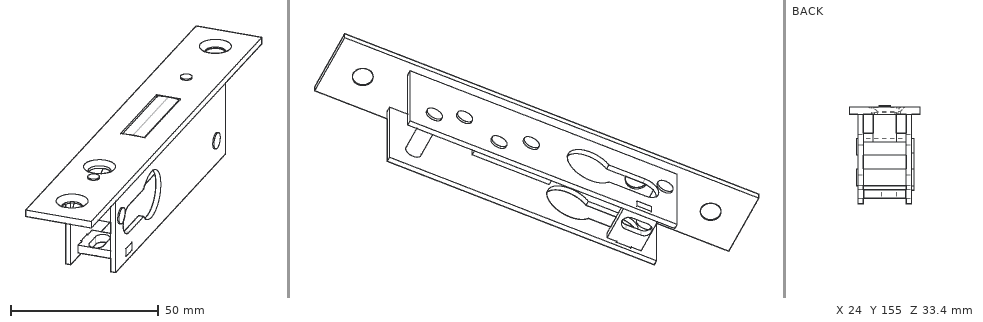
import cadquery as cq


FACE_WIDTH = 24.0
FACE_LENGTH = 155.0
FACE_THICKNESS = 2.5
FIXING_Y = 65.1
FIXING_DIAMETER = 7.0
CYLINDER_SCREW_X = -1.4
CYLINDER_SCREW_Y = -36.7
CYLINDER_SCREW_DIAMETER = 7.8
SINK_DIAMETER = 10.8
SINK_ANGLE = 90.0
RIVET_DIAMETER = 4.0
RIVET_HEIGHT = 0.5
RIVET_YS = [38.6, -45.5]

CASE_LENGTH = 100.0
CASE_Y = 1.7
CASE_BOTTOM = -32.9
CASE_WIDTH = 18.3
WALL = 1.9
HALF_WIDTH = CASE_WIDTH / 2
HALF_GAP = HALF_WIDTH - WALL

PIN_DIAMETER = 5.7
LEFT_HEAD = 0.8
RIGHT_HEAD = 0.5
LONG_PINS = [(-43.5, -13.5), (42.8, -23.9)]
SHORT_PINS = [(31.5, -18.5), (6.5, -18.5), (18.6, -25.4)]

KEY_Y = -15.8
KEY_Z = -18.0
KEY_DIAMETER = 17.2
KEY_SLOT_WIDTH = 10.2
KEY_END_Y = -41.4

BAR_Y = -36.0
BAR_TOP = -28.0
BAR_THICKNESS = 3.0
BAR_LENGTH = 12.7
BAR_CLEARANCE = 0.3
TAB_LENGTH = 5.5
BAR_SLOT_WIDTH = 5.1
BAR_SLOT_LENGTH = 10.8

BOLT_WIDTH = 7.9
BOLT_LENGTH = 32.0
BOLT_Y = 6.4
SIDE_CLEARANCE = 0.5
END_CLEARANCE = 0.3
CROWN_DROP = 0.3
FLANGE_TOP = -8.8
FLANGE_THICKNESS = 3.1
FLANGE_INSET = 1.5


def block(x_size, y_size, z_size, x, y, z_top):
    """Box centred on x and y, hanging down from z_top."""
    return cq.Workplane("XY").box(x_size, y_size, z_size).translate((x, y, z_top - z_size / 2))


def cross_cylinder(diameter, y, z, x_start, x_end):
    """Cylinder along X between two x positions."""
    return (
        cq.Workplane("YZ", origin=(x_start, 0, 0))
        .center(y, z)
        .circle(diameter / 2)
        .extrude(x_end - x_start)
    )


def make_faceplate():
    plate = block(FACE_WIDTH, FACE_LENGTH, FACE_THICKNESS, 0, 0, 0)
    plate = (
        plate.faces(">Z").workplane(origin=(0, 0, 0))
        .pushPoints([(0, FIXING_Y), (0, -FIXING_Y)])
        .cskHole(FIXING_DIAMETER, SINK_DIAMETER, SINK_ANGLE)
    )
    plate = (
        plate.faces(">Z").workplane(origin=(0, 0, 0))
        .pushPoints([(CYLINDER_SCREW_X, CYLINDER_SCREW_Y)])
        .cskHole(CYLINDER_SCREW_DIAMETER, SINK_DIAMETER, SINK_ANGLE)
    )
    bolt_opening = block(
        BOLT_WIDTH + 2 * SIDE_CLEARANCE, BOLT_LENGTH + 2 * END_CLEARANCE, FACE_THICKNESS, 0, BOLT_Y, 0
    )
    rivets = (
        cq.Workplane("XY")
        .pushPoints([(0, y) for y in RIVET_YS])
        .circle(RIVET_DIAMETER / 2)
        .extrude(RIVET_HEIGHT)
    )
    return plate.cut(bolt_opening).union(rivets)


def make_keyhole():
    """Cutter for the keyhole through both side plates."""
    slot_end_y = KEY_END_Y + KEY_SLOT_WIDTH / 2
    round_part = cross_cylinder(KEY_DIAMETER, KEY_Y, KEY_Z, -HALF_WIDTH, HALF_WIDTH)
    slot_end = cross_cylinder(KEY_SLOT_WIDTH, slot_end_y, KEY_Z, -HALF_WIDTH, HALF_WIDTH)
    slot = block(
        CASE_WIDTH, KEY_Y - slot_end_y, KEY_SLOT_WIDTH,
        0, (KEY_Y + slot_end_y) / 2, KEY_Z + KEY_SLOT_WIDTH / 2,
    )
    return round_part.union(slot).union(slot_end)


def make_tabs():
    """Bar tabs, reaching the outer faces of both side plates."""
    return block(CASE_WIDTH, TAB_LENGTH, BAR_THICKNESS, 0, BAR_Y, BAR_TOP)


def make_cross_bar():
    """Slotted bar with a tab that passes through each side plate."""
    bar_width = 2 * (HALF_GAP - BAR_CLEARANCE)
    bar = block(bar_width, BAR_LENGTH, BAR_THICKNESS, 0, BAR_Y, BAR_TOP)
    screw_slot = (
        cq.Workplane("XY", origin=(CYLINDER_SCREW_X, CYLINDER_SCREW_Y, BAR_TOP))
        .slot2D(BAR_SLOT_LENGTH, BAR_SLOT_WIDTH, 90)
        .extrude(-BAR_THICKNESS)
    )
    return bar.union(make_tabs()).cut(screw_slot)


def make_housing():
    """Faceplate, side plates and pins, with openings for the keyhole and the bar tabs."""
    plate_height = -FACE_THICKNESS - CASE_BOTTOM
    wall_openings = make_keyhole().union(make_tabs())
    housing = make_faceplate()
    for side in (-1, 1):
        wall_x = side * (HALF_WIDTH - WALL / 2)
        wall = block(WALL, CASE_LENGTH, plate_height, wall_x, CASE_Y, -FACE_THICKNESS)
        housing = housing.union(wall.cut(wall_openings))
    for y, z in LONG_PINS:
        housing = housing.union(
            cross_cylinder(PIN_DIAMETER, y, z, -HALF_WIDTH - LEFT_HEAD, HALF_WIDTH + RIGHT_HEAD)
        )
    for y, z in SHORT_PINS:
        housing = housing.union(
            cross_cylinder(PIN_DIAMETER, y, z, -HALF_WIDTH - LEFT_HEAD, -HALF_GAP)
        )
    return housing


def make_bolt():
    """T-shaped bolt: a head with a domed top, and a flange that slides between the side plates."""
    half_head = BOLT_WIDTH / 2
    quarter_x = half_head / 2
    quarter_z = -CROWN_DROP / 4
    head = (
        cq.Workplane("XZ", origin=(0, BOLT_Y + BOLT_LENGTH / 2, 0))
        .moveTo(-half_head, FLANGE_TOP - FLANGE_THICKNESS)
        .lineTo(half_head, FLANGE_TOP - FLANGE_THICKNESS)
        .lineTo(half_head, -CROWN_DROP)
        .threePointArc((quarter_x, quarter_z), (0, 0))
        .threePointArc((-quarter_x, quarter_z), (-half_head, -CROWN_DROP))
        .close()
        .extrude(BOLT_LENGTH)
    )
    flange_length = BOLT_LENGTH - 2 * FLANGE_INSET
    flange = block(2 * HALF_GAP, flange_length, FLANGE_THICKNESS, 0, BOLT_Y, FLANGE_TOP)
    return head.union(flange)


housing = make_housing()
cross_bar = make_cross_bar()
bolt = make_bolt()

result = cq.Compound.makeCompound([housing.val(), cross_bar.val(), bolt.val()])